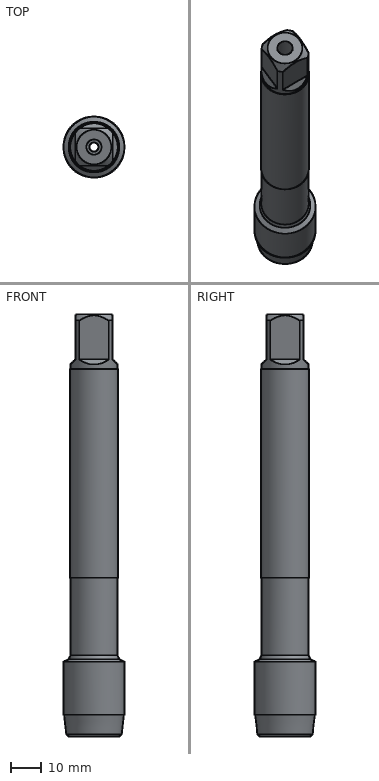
import cadquery as cq

total_length = 140.0

head_radius = 20.3 / 2
head_top = 24.9
lead_top = 7.3
lead_top_radius = 10.0
lead_tip_radius = 9.2
tip_chamfer = 1.0
coolant_radius = 3.0 / 2

shank_radius = 16.0 / 2
neck_radius = 15.7 / 2
neck_top = 52.6
neck_bottom = 27.0
shoulder_radius = 8.4
shoulder_height = 25.8
shank_bore_radius = 5.0 / 2

drive_radius = 15.7 / 2
drive_bottom = 122.0
square_width = 12.3
flat_bottom = 125.0
end_chamfer = 2.1
step_chamfer = shank_radius - drive_radius


def revolve_profile(points):
    """Solid of revolution about Z from (radius, height) points."""
    return cq.Workplane("XZ").polyline(points).close().revolve(360, (0, 0), (0, 1))


def make_head():
    """Cutting head with a tapered lead and a through coolant hole."""
    return revolve_profile([
        (coolant_radius, 0),
        (lead_tip_radius - tip_chamfer, 0),
        (lead_tip_radius, tip_chamfer),
        (lead_top_radius, lead_top),
        (head_radius, lead_top),
        (head_radius, head_top),
        (coolant_radius, head_top),
    ])


def flat_cutter():
    """Tool that cuts the +X drive flat, with a 45 degree run-out at its foot."""
    flat_distance = square_width / 2
    reach = shank_radius
    return (
        cq.Workplane("XZ")
        .polyline([
            (flat_distance, flat_bottom),
            (flat_distance, total_length),
            (flat_distance + reach, total_length),
            (flat_distance + reach, flat_bottom - reach),
        ])
        .close()
        .extrude(shank_radius, both=True)
    )


def make_shank():
    """Bored shank with a flared neck at the bottom and a square drive on top."""
    shank = revolve_profile([
        (shank_bore_radius, head_top),
        (head_radius, head_top),
        (shoulder_radius, shoulder_height),
        (neck_radius, neck_bottom),
        (neck_radius, neck_top),
        (shank_radius, neck_top + shank_radius - neck_radius),
        (shank_radius, drive_bottom - step_chamfer),
        (drive_radius, drive_bottom),
        (drive_radius, total_length - end_chamfer),
        (drive_radius - end_chamfer, total_length),
        (shank_bore_radius, total_length),
    ])
    cutter = flat_cutter()
    for quarter in range(4):
        shank = shank.cut(cutter.rotate((0, 0, 0), (0, 0, 1), 90 * quarter))
    return shank


head = make_head()
shank = make_shank()

result = cq.Compound.makeCompound([head.val(), shank.val()])